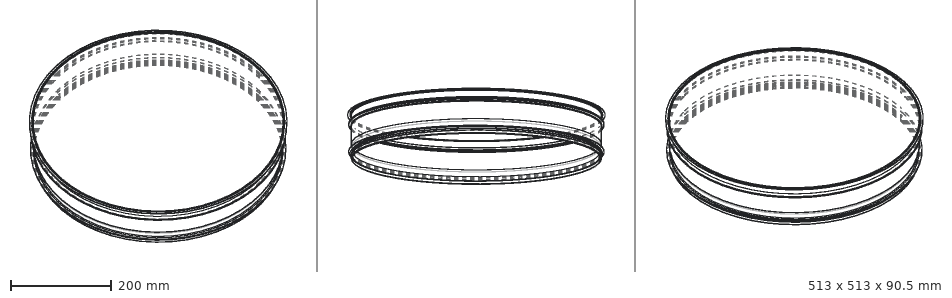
import cadquery as cq

height = 90.5
flange_diameter = 513.0
sheet = 0.75

flange_thickness = 1.5
neck_height = 1.5
neck_reach = 1.0
cover_diameter = 504.0
cover_thickness = 1.0

wall_diameter = 499.0
bead_diameter = 509.0
bead_top = 75.0
bead_crest_top = 72.0
bead_crest_bottom = 69.0
bead_bottom = 65.0

seat_diameter = 494.0
seat_shoulder_diameter = 495.5
seat_taper_top = 30.0
seat_top = 25.0
seat_bottom = 7.0
foot_chamfer = 1.5

gasket_band_diameter = 498.0
gasket_top = 15.5
upper_lip_diameter = 509.0
upper_lip_bottom = 14.0
lower_lip_diameter = 504.0
lower_lip_top = 10.5
lower_lip_bottom = 10.0

flange_radius = flange_diameter / 2
cover_radius = cover_diameter / 2
wall_radius = wall_diameter / 2
bead_radius = bead_diameter / 2
seat_radius = seat_diameter / 2
seat_shoulder_radius = seat_shoulder_diameter / 2
band_radius = gasket_band_diameter / 2
upper_lip_radius = upper_lip_diameter / 2
lower_lip_radius = lower_lip_diameter / 2
flange_underside = height - flange_thickness
cover_underside = height - cover_thickness


def ring(profile):
    """Turn a closed (radius, z) profile once around the Z axis, starting at -Y."""
    turned = cq.Workplane("XZ").polyline(profile).close().revolve(360, (0, 0), (0, 1))
    return turned.rotate((0, 0, 0), (0, 0, 1), -90)


def make_sleeve():
    """Thin open sleeve with a recessed top flange, a bead and a gasket seat."""
    outer_wall = [
        (wall_radius - foot_chamfer, 0),
        (wall_radius, foot_chamfer),
        (wall_radius, seat_bottom),
        (seat_radius, seat_bottom),
        (seat_radius, gasket_top),
        (seat_shoulder_radius, seat_top),
        (wall_radius, seat_taper_top),
        (wall_radius, bead_bottom),
        (wall_radius + neck_reach, bead_bottom + neck_height),
        (bead_radius, bead_crest_bottom),
        (bead_radius, bead_crest_top),
        (wall_radius, bead_top),
        (wall_radius, flange_underside - neck_height),
        (wall_radius + neck_reach, flange_underside),
    ]
    flange = [
        (flange_radius, flange_underside),
        (flange_radius, height),
        (cover_radius, height),
        (cover_radius, cover_underside),
    ]
    inner_wall = [
        (wall_radius - sheet, cover_underside),
        (wall_radius - sheet, bead_top - sheet),
        (bead_radius - sheet, bead_crest_top - sheet),
        (bead_radius - sheet, bead_crest_bottom + sheet),
        (wall_radius + neck_reach - sheet, bead_bottom + neck_height + sheet),
        (wall_radius - sheet, bead_bottom + sheet),
        (wall_radius - sheet, seat_taper_top),
        (seat_shoulder_radius - sheet, seat_top),
        (seat_radius - sheet, gasket_top),
        (seat_radius - sheet, seat_bottom - sheet),
        (wall_radius - sheet, seat_bottom - sheet),
        (wall_radius - sheet, foot_chamfer),
        (wall_radius - foot_chamfer - sheet, 0),
    ]
    return ring(outer_wall + flange + inner_wall)


def make_cover():
    """Flat disc lying flush in the recess of the top flange."""
    return cq.Workplane("XY").workplane(offset=cover_underside).circle(cover_radius).extrude(cover_thickness)


def make_gasket():
    """Sealing band around the seat, with a wide upper and a narrower lower lip."""
    return ring([
        (seat_radius, seat_bottom),
        (wall_radius, seat_bottom),
        (wall_radius, lower_lip_bottom),
        (lower_lip_radius, lower_lip_bottom),
        (lower_lip_radius, lower_lip_top),
        (band_radius, lower_lip_top),
        (band_radius, upper_lip_bottom),
        (upper_lip_radius, upper_lip_bottom),
        (upper_lip_radius, gasket_top),
        (seat_radius, gasket_top),
    ])


sleeve = make_sleeve()
cover = make_cover()
gasket = make_gasket()

result = cq.Compound.makeCompound([sleeve.val(), cover.val(), gasket.val()])